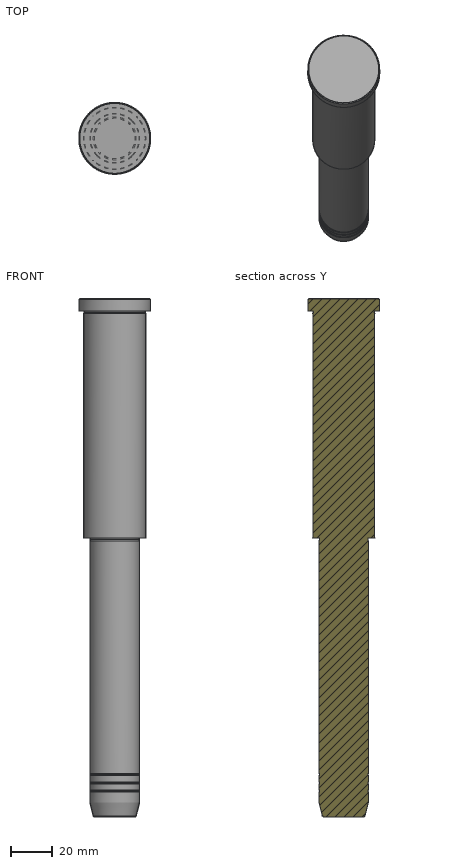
import cadquery as cq

LENGTH = 251.0
HEAD_DIAMETER = 35.0
HEAD_HEIGHT = 6.0
HEAD_CHAMFER = 0.5
BODY_DIAMETER = 30.0
BODY_BOTTOM = 135.0
NECK_DEPTH = 0.3
NECK_WIDTH = 1.3
SHANK_DIAMETER = 24.0
TIP_DIAMETER = 20.5
TIP_HEIGHT = 7.0
TIP_CHAMFER = 0.5

GROOVE_COUNT = 3
GROOVE_PITCH = 4.0
GROOVE_WIDTH = 1.0
GROOVE_DEPTH = 0.3
LOWEST_GROOVE = 12.5


def cylinder(diameter, bottom, top):
    return cq.Workplane("XY").workplane(offset=bottom).circle(diameter / 2).extrude(top - bottom)


def ring_groove(diameter, depth, bottom, width):
    """Ring that cuts a V-shaped groove into a cylinder of the given diameter."""
    radius = diameter / 2
    profile = [(radius, bottom), (radius - depth, bottom + width / 2), (radius, bottom + width)]
    return cq.Workplane("XZ").polyline(profile).close().revolve(360, (0, 0, 0), (0, 1, 0))


head_bottom = LENGTH - HEAD_HEIGHT
head = cylinder(HEAD_DIAMETER, head_bottom, LENGTH).faces(">Z").edges().chamfer(HEAD_CHAMFER)

body = cylinder(BODY_DIAMETER, BODY_BOTTOM, head_bottom)
body = body.cut(ring_groove(BODY_DIAMETER, NECK_DEPTH, head_bottom - NECK_WIDTH, NECK_WIDTH))

shank = cylinder(SHANK_DIAMETER, TIP_HEIGHT, BODY_BOTTOM)
shank = shank.cut(ring_groove(SHANK_DIAMETER, NECK_DEPTH, BODY_BOTTOM - NECK_WIDTH, NECK_WIDTH))
for index in range(GROOVE_COUNT):
    groove_bottom = LOWEST_GROOVE + index * GROOVE_PITCH - GROOVE_WIDTH / 2
    shank = shank.cut(ring_groove(SHANK_DIAMETER, GROOVE_DEPTH, groove_bottom, GROOVE_WIDTH))

tip = (
    cq.Workplane("XY")
    .circle(TIP_DIAMETER / 2)
    .workplane(offset=TIP_HEIGHT)
    .circle(SHANK_DIAMETER / 2)
    .loft(ruled=True)
    .faces("<Z").edges().chamfer(TIP_CHAMFER)
)

result = head.union(body).union(shank).union(tip)